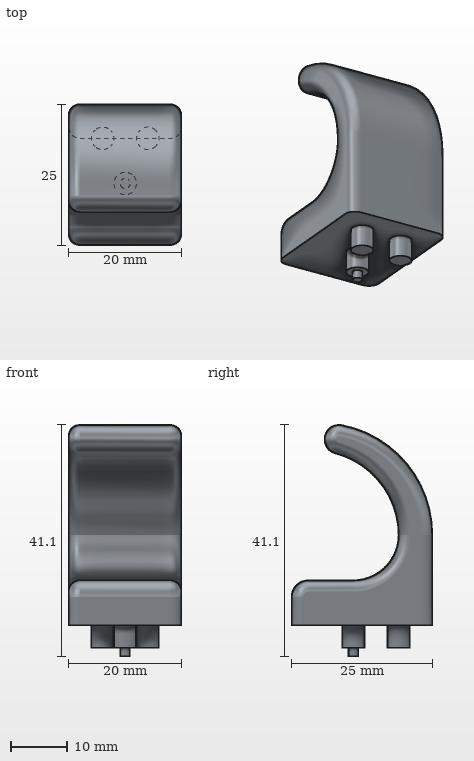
import cadquery as cq
import math

WIDTH = 20.0
DEPTH = 25.0
BASE_HEIGHT = 8.0
FRONT_ROUND = 3.0
EDGE_FILLET = 2.0

SPRING_HEIGHT = 16.03
ROOT_THICKNESS = 6.0
SEAT_RADIUS = SPRING_HEIGHT - BASE_HEIGHT
OUTER_RADIUS = 19.9
INNER_RADIUS = 15.0
TIP_Y = 8.35
TIP_Z = 32.92
TIP_RADIUS = 2.5

PEG_DIAMETER = 4.0
PEG_LENGTH = 4.0
PEG_SPACING = 8.0
FRONT_PEG_Y = 10.97
BACK_PEG_Y = FRONT_PEG_Y + PEG_SPACING
PIN_DIAMETER = 1.75
PIN_REACH = 5.5


def on_circle(center, radius, angle):
    """Point on a circle, with the angle in radians."""
    return (center[0] + radius * math.cos(angle), center[1] + radius * math.sin(angle))


def hook_body():
    """Base and hook as one (Y, Z) profile extruded across the width, with rounded sides."""
    outer_center = (DEPTH - OUTER_RADIUS, SPRING_HEIGHT)
    inner_start = (DEPTH - ROOT_THICKNESS, SPRING_HEIGHT)
    inner_center = (inner_start[0] - INNER_RADIUS, SPRING_HEIGHT)
    seat_center = (inner_start[0] - SEAT_RADIUS, SPRING_HEIGHT)
    front_center = (FRONT_ROUND, BASE_HEIGHT - FRONT_ROUND)

    outer_angle = math.atan2(TIP_Z - outer_center[1], TIP_Y - outer_center[0])
    inner_angle = math.atan2(TIP_Z - inner_center[1], TIP_Y - inner_center[0])
    outer_end = on_circle(outer_center, OUTER_RADIUS, outer_angle)
    inner_end = on_circle(inner_center, INNER_RADIUS, inner_angle)
    tip_middle = on_circle((TIP_Y, TIP_Z), TIP_RADIUS, (outer_angle + inner_angle) / 2 + math.pi / 2)

    body = (
        cq.Workplane("YZ")
        .moveTo(0, 0)
        .lineTo(DEPTH, 0)
        .lineTo(DEPTH, SPRING_HEIGHT)
        .threePointArc(on_circle(outer_center, OUTER_RADIUS, outer_angle / 2), outer_end)
        .threePointArc(tip_middle, inner_end)
        .threePointArc(on_circle(inner_center, INNER_RADIUS, inner_angle / 2), inner_start)
        .threePointArc(on_circle(seat_center, SEAT_RADIUS, -math.pi / 4), (seat_center[0], BASE_HEIGHT))
        .lineTo(FRONT_ROUND, BASE_HEIGHT)
        .threePointArc(on_circle(front_center, FRONT_ROUND, 3 * math.pi / 4), (0, front_center[1]))
        .close()
        .extrude(WIDTH / 2, both=True)
    )
    side_edges = body.faces("<X or >X").edges("not(<Z)")
    return side_edges.fillet(EDGE_FILLET)


def stud(x, y, diameter, length):
    """A round stud hanging from the underside of the base."""
    return cq.Workplane("XY").center(x, y).circle(diameter / 2).extrude(-length)


result = hook_body()
peg_positions = [
    (0, FRONT_PEG_Y),
    (-PEG_SPACING / 2, BACK_PEG_Y),
    (PEG_SPACING / 2, BACK_PEG_Y),
]
for peg_x, peg_y in peg_positions:
    result = result.union(stud(peg_x, peg_y, PEG_DIAMETER, PEG_LENGTH))
result = result.union(stud(0, FRONT_PEG_Y, PIN_DIAMETER, PIN_REACH))